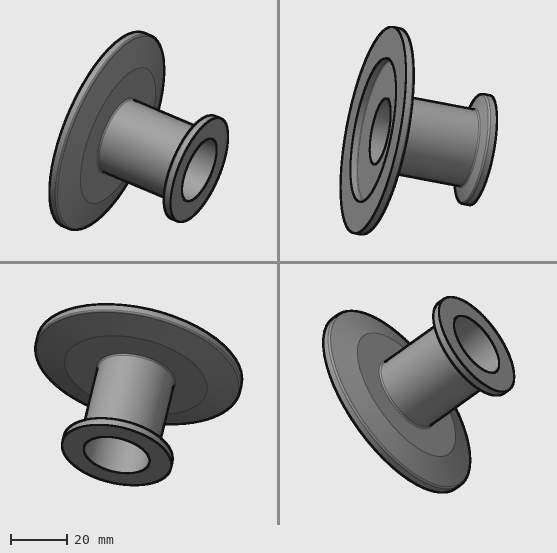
import cadquery as cq
import math

length = 40.0
large_diameter = 75.0
small_diameter = 40.0
tube_diameter = 28.0
bore_diameter = 24.0

clamp_angle = math.radians(15)
rim_width = 3.0
rim_round = 0.75
hub_radius = 26.0
neck_round = 0.5

recess_diameter = 52.2
recess_depth = 2.6
recess_round = 0.2

large_radius = large_diameter / 2
small_radius = small_diameter / 2
tube_radius = tube_diameter / 2


def cone_run(outer_radius, inner_radius):
    """Axial length of a clamping cone between two radii."""
    return (outer_radius - inner_radius) * math.tan(clamp_angle)


large_back = rim_width + cone_run(large_radius, hub_radius)
small_rim_start = length - rim_width
small_back = small_rim_start - cone_run(small_radius, tube_radius)

body = (
    cq.Workplane("XY")
    .moveTo(0, 0)
    .lineTo(0, large_radius)
    .lineTo(rim_width, large_radius)
    .lineTo(large_back, hub_radius)
    .lineTo(large_back, tube_radius)
    .lineTo(small_back, tube_radius)
    .lineTo(small_rim_start, small_radius)
    .lineTo(length, small_radius)
    .lineTo(length, 0)
    .close()
    .revolve(360, (0, 0, 0), (1, 0, 0))
)


def circle_edge_at(x, radius):
    """Selector for the circular edge of the given radius around X at position x."""
    margin = 0.1
    reach = radius + margin
    return cq.selectors.BoxSelector(
        (x - margin, -reach, -reach), (x + margin, reach, reach), boundingbox=True
    )


def round_circle(solid, x, radius, fillet_radius):
    """Round the circular edge of the given radius at position x."""
    return solid.edges(circle_edge_at(x, radius)).fillet(fillet_radius)


body = round_circle(body, rim_width, large_radius, rim_round)
body = round_circle(body, small_rim_start, small_radius, rim_round)
body = round_circle(body, large_back, tube_radius, neck_round)
body = round_circle(body, small_back, tube_radius, neck_round)

recess = (
    cq.Workplane("YZ")
    .circle(recess_diameter / 2)
    .extrude(recess_depth)
    .faces(">X")
    .edges()
    .fillet(recess_round)
)

bore = cq.Workplane("YZ").circle(bore_diameter / 2).extrude(length)

result = body.cut(recess).cut(bore)